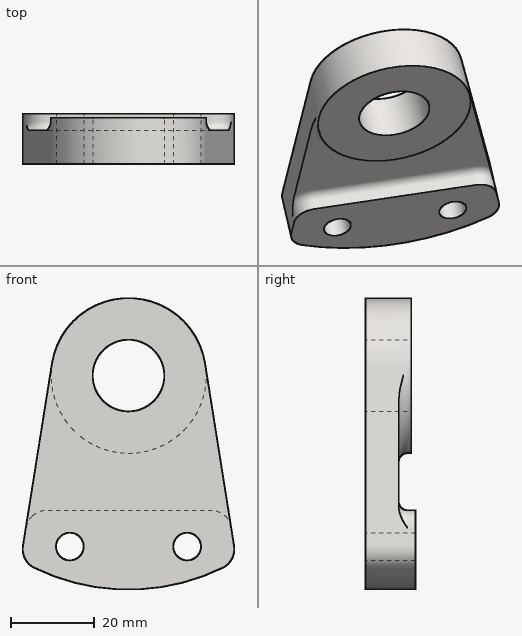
import cadquery as cq
import math

HEAD_RADIUS = 18.5
FOOT_RADIUS = 51.0
CORNER_RADIUS = 5.0
OVERALL_WIDTH = 50.45
BORE_DIAMETER = 17.0

WEB_THICKNESS = 8.0
HEAD_THICKNESS = 11.0
FOOT_THICKNESS = 12.0
FOOT_PAD_TOP = -32.05
BASE_FILLET = 2.0

HOLE_DIAMETER = 6.5
HOLE_X = 14.0
HOLE_Z = -40.7

STOCK_SIZE = 4 * FOOT_RADIUS

CORNER_X = OVERALL_WIDTH / 2 - CORNER_RADIUS
CORNER_Z = -math.sqrt((FOOT_RADIUS - CORNER_RADIUS) ** 2 - CORNER_X ** 2)
CORNER_ANGLE = math.atan2(CORNER_Z, CORNER_X)

SIDE_ANGLE = CORNER_ANGLE + math.acos((HEAD_RADIUS - CORNER_RADIUS) / (FOOT_RADIUS - CORNER_RADIUS))


def polar(radius, angle, center=(0, 0)):
    return (center[0] + radius * math.cos(angle), center[1] + radius * math.sin(angle))


def mirrored(point):
    return (-point[0], point[1])


def side_x(z):
    """X of the straight right side at height z."""
    return (HEAD_RADIUS - z * math.sin(SIDE_ANGLE)) / math.cos(SIDE_ANGLE)


def front_plane():
    """Front face plane; negative extrusions go toward the back (+Y)."""
    return cq.Workplane("XZ")


def make_outline():
    corner = (CORNER_X, CORNER_Z)
    head_end = polar(HEAD_RADIUS, SIDE_ANGLE)
    corner_start = polar(CORNER_RADIUS, SIDE_ANGLE, corner)
    corner_mid = polar(CORNER_RADIUS, (SIDE_ANGLE + CORNER_ANGLE) / 2, corner)
    corner_end = polar(FOOT_RADIUS, CORNER_ANGLE)
    return (
        front_plane()
        .moveTo(*mirrored(head_end))
        .threePointArc((0, HEAD_RADIUS), head_end)
        .lineTo(*corner_start)
        .threePointArc(corner_mid, corner_end)
        .threePointArc((0, -FOOT_RADIUS), mirrored(corner_end))
        .threePointArc(mirrored(corner_mid), mirrored(corner_start))
        .close()
        .extrude(-FOOT_THICKNESS)
    )


def make_tapered_block(bottom, top):
    """Block between two heights, bounded by the straight sides of the outline."""
    top_right = (side_x(top), top)
    bottom_right = (side_x(bottom), bottom)
    return (
        front_plane()
        .polyline([mirrored(top_right), top_right, bottom_right, mirrored(bottom_right)])
        .close()
        .extrude(-FOOT_THICKNESS)
    )


def make_web():
    return front_plane().rect(STOCK_SIZE, STOCK_SIZE).extrude(-WEB_THICKNESS)


def make_flared_disc():
    """Disc that flares into the web with a concave fillet, revolved about the bore axis."""
    flare_radius = HEAD_RADIUS + BASE_FILLET
    flare_top = WEB_THICKNESS + BASE_FILLET
    arc_mid = polar(BASE_FILLET, math.radians(225), (flare_radius, flare_top))
    return (
        cq.Workplane("XY")
        .moveTo(0, 0)
        .lineTo(flare_radius, 0)
        .lineTo(flare_radius, WEB_THICKNESS)
        .threePointArc(arc_mid, (HEAD_RADIUS, flare_top))
        .lineTo(HEAD_RADIUS, HEAD_THICKNESS)
        .lineTo(0, HEAD_THICKNESS)
        .close()
        .revolve(360, (0, 0, 0), (0, 1, 0))
    )


def make_head_pad():
    """Full round head; its flare is kept only between the straight sides."""
    flare_top = HEAD_RADIUS * math.sin(SIDE_ANGLE)
    flare_bottom = -HEAD_RADIUS - 2 * BASE_FILLET
    flare_zone = make_tapered_block(flare_bottom, flare_top)
    head = front_plane().circle(HEAD_RADIUS).extrude(-HEAD_THICKNESS)
    return make_flared_disc().intersect(flare_zone).union(head)


def make_foot_pad():
    """Pad with rounded upper corners and a concave fillet, reaching below the foot arc."""
    bottom = -FOOT_RADIUS - CORNER_RADIUS
    pad = (
        make_tapered_block(bottom, FOOT_PAD_TOP)
        .edges("|Y and >Z")
        .fillet(CORNER_RADIUS)
    )
    base_edges = cq.selectors.BoxSelector(
        (-STOCK_SIZE, WEB_THICKNESS - BASE_FILLET / 2, -STOCK_SIZE),
        (STOCK_SIZE, WEB_THICKNESS + BASE_FILLET / 2, FOOT_PAD_TOP + BASE_FILLET),
    )
    return make_web().union(pad).edges(base_edges).fillet(BASE_FILLET)


def make_holes():
    bore = front_plane().circle(BORE_DIAMETER / 2).extrude(-FOOT_THICKNESS)
    bolt_holes = (
        front_plane()
        .pushPoints([(-HOLE_X, HOLE_Z), (HOLE_X, HOLE_Z)])
        .circle(HOLE_DIAMETER / 2)
        .extrude(-FOOT_THICKNESS)
    )
    return bore.union(bolt_holes)


foot_and_web = make_foot_pad().intersect(make_outline())
result = foot_and_web.union(make_head_pad()).cut(make_holes())